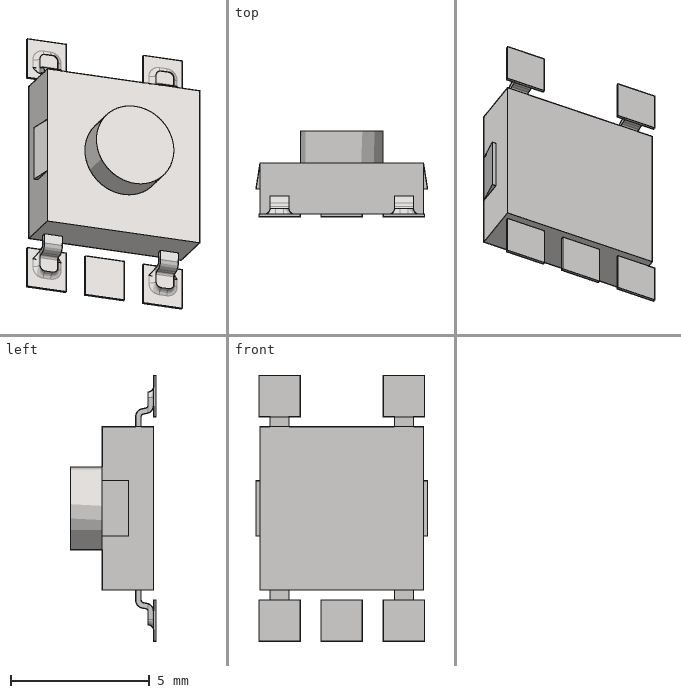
import cadquery as cq
import math


housing_side = 5.9
housing_height = 1.85
button_diameter = 3.0
button_height = 1.15

snap_length = 2.0
snap_depth = 0.95
overall_width = 6.2
snap_projection = (overall_width - housing_side) / 2

overall_length = 9.6
pad_side = 1.5
pad_thickness = 0.1
pad_x = 2.25
pad_z = (overall_length - pad_side) / 2

lead_width = 0.69
lead_thickness = 0.2
lead_exit_height = 0.55
lead_straight = 0.36
bend_inner_radius = 0.1
bend_angle = math.radians(80)
foot_length = 0.49
foot_corner_radius = 0.2

bend_radius = bend_inner_radius + lead_thickness / 2
bend_outer_radius = bend_inner_radius + lead_thickness
bend_rise = bend_radius * (1 - math.cos(bend_angle))
bend_run = bend_radius * math.sin(bend_angle)
lead_drop = lead_exit_height - lead_thickness / 2
ramp_length = (lead_drop - 2 * bend_rise) / math.sin(bend_angle)
ramp_run = ramp_length * math.cos(bend_angle)

lead_start_z = housing_side / 2
first_bend_z = lead_start_z + lead_straight
foot_start_z = first_bend_z + 2 * bend_run + ramp_run
foot_end_z = foot_start_z + foot_length

solder_radius = lead_thickness


def point_on_circle(center, radius, angle):
    """Point (y, z) on a circle, with the angle measured from +Y towards +Z."""
    return (center[0] + radius * math.cos(angle), center[1] + radius * math.sin(angle))


def make_housing():
    return cq.Workplane("XY").box(housing_side, housing_height, housing_side).translate(
        (0, housing_height / 2, 0)
    )


def make_button():
    top_plane = cq.Plane(origin=(0, housing_height, 0), xDir=(1, 0, 0), normal=(0, 1, 0))
    return cq.Workplane(top_plane).circle(button_diameter / 2).extrude(button_height)


def make_snap():
    """Wedge on the +X side, flush at the housing top and thickest at its end nearer the pads."""
    face_x = housing_side / 2
    lower_y = housing_height - snap_depth
    return (
        cq.Workplane("XY")
        .moveTo(face_x, housing_height)
        .lineTo(face_x + snap_projection, lower_y)
        .lineTo(face_x, lower_y)
        .close()
        .extrude(snap_length / 2, both=True)
    )


def make_pad(x, z):
    return cq.Workplane("XY").box(pad_side, pad_thickness, pad_side).translate(
        (x, -pad_thickness / 2, z)
    )


def make_lead_strip():
    """S-bent strip centred on X = 0, with the free corners of its foot rounded."""
    first_center = (lead_exit_height - bend_radius, first_bend_z)
    second_center = (bend_outer_radius, foot_start_z)
    exit_top = lead_exit_height + lead_thickness / 2
    exit_bottom = lead_exit_height - lead_thickness / 2

    def first_bend(radius, fraction):
        return point_on_circle(first_center, radius, fraction * bend_angle)

    def second_bend(radius, fraction):
        return point_on_circle(second_center, radius, math.pi + fraction * bend_angle)

    return (
        cq.Workplane("YZ")
        .moveTo(exit_top, lead_start_z)
        .lineTo(exit_top, first_bend_z)
        .threePointArc(first_bend(bend_outer_radius, 0.5), first_bend(bend_outer_radius, 1))
        .lineTo(*second_bend(bend_inner_radius, 1))
        .threePointArc(second_bend(bend_inner_radius, 0.5), second_bend(bend_inner_radius, 0))
        .lineTo(lead_thickness, foot_end_z)
        .lineTo(0, foot_end_z)
        .lineTo(0, foot_start_z)
        .threePointArc(second_bend(bend_outer_radius, 0.5), second_bend(bend_outer_radius, 1))
        .lineTo(*first_bend(bend_inner_radius, 1))
        .threePointArc(first_bend(bend_inner_radius, 0.5), first_bend(bend_inner_radius, 0))
        .lineTo(exit_bottom, lead_start_z)
        .close()
        .extrude(lead_width / 2, both=True)
        .faces(">Z")
        .edges("|Y")
        .fillet(foot_corner_radius)
    )


def make_solder():
    """Concave fillet around the sides and the end of the foot, cut off along the second bend."""
    half_width = lead_width / 2
    start_z = foot_start_z - bend_outer_radius
    corner_z = foot_end_z - foot_corner_radius
    corner_x = half_width - foot_corner_radius
    diagonal = foot_corner_radius * math.sqrt(0.5)

    plan = cq.Plane(origin=(0, 0, 0), xDir=(1, 0, 0), normal=(0, -1, 0))
    foot_outline = (
        cq.Workplane(plan)
        .moveTo(half_width, start_z)
        .lineTo(half_width, corner_z)
        .threePointArc((corner_x + diagonal, corner_z + diagonal), (corner_x, foot_end_z))
        .lineTo(-corner_x, foot_end_z)
        .threePointArc((-corner_x - diagonal, corner_z + diagonal), (-half_width, corner_z))
        .lineTo(-half_width, start_z)
    )
    arc_offset = solder_radius * (1 - math.sqrt(0.5))
    bead = (
        cq.Workplane("XY", origin=(half_width, 0, start_z))
        .lineTo(solder_radius, 0)
        .threePointArc((arc_offset, arc_offset), (0, solder_radius))
        .close()
        .sweep(foot_outline)
    )

    open_space = (
        cq.Workplane("YZ")
        .moveTo(0, foot_start_z)
        .radiusArc((bend_outer_radius, start_z), -bend_outer_radius)
        .lineTo(0, start_z)
        .close()
        .extrude(lead_width, both=True)
    )
    return bead.cut(open_space)


def make_soldered_lead():
    """Lead with its solder and pad at the +X, +Z corner."""
    joint = make_lead_strip().union(make_solder()).translate((pad_x, 0, 0))
    return joint.union(make_pad(pad_x, pad_z))


def make_switch():
    """Housing, button, snaps and the four soldered leads as one solid."""
    snap = make_snap()
    switch = make_housing().union(make_button()).union(snap).union(snap.mirror("YZ"))
    upper_right = make_soldered_lead()
    upper_left = upper_right.mirror("YZ")
    for lead in (upper_right, upper_left):
        switch = switch.union(lead).union(lead.mirror("XY"))
    return switch


switch = make_switch()
loose_pad = make_pad(0, -pad_z)

result = cq.Compound.makeCompound([*switch.solids().vals(), loose_pad.val()])